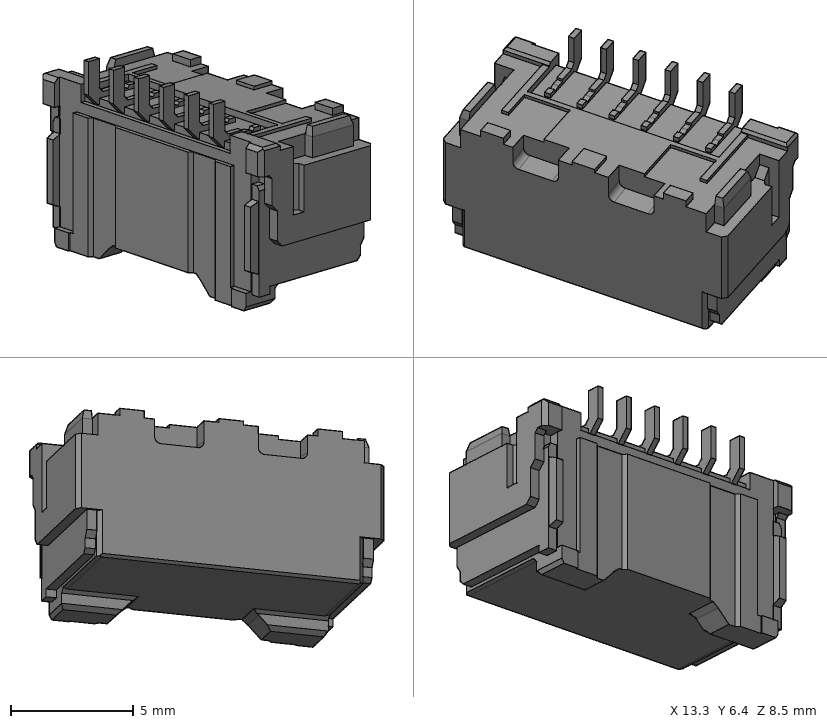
import cadquery as cq
WIDTH = 13.3
BACK_Y = 6.4
TOP_Z = 7.08
DECK_Z = 6.93
PAD_Z = 7.24
SHELF_Z = 5.98
WALL_BOTTOM_Z = 2.78
FLOOR_Z = 0.78

SIDE_X = WIDTH / 2
RIB_X = 6.18
RIB_BOTTOM_Z = 0.98
RIB_FRONT_Y = 0.41
CORE_X = 5.75
FRAME_Y = 0.37
PANEL_Y = 0.16
RECESS_Y = 0.32
FOOT_Y = 0.08
CORNER_CHAMFER = 0.2
EDGE_CHAMFER = 0.12
PANEL_SLOPE = 0.16

PIN_COUNT = 6
PIN_PITCH = 1.5
PIN_WIDTH = 0.27
PIN_TOP_Z = 8.5
PIN_BOTTOM_Z = 6.52
RECESS_X = 4.48
RECESS_BACK_Y = 3.03
RECESS_FLOOR_Z = 6.78
LIP_Y = 0.61
LIP_Z = 6.45

BAR_X = 4.8
BAR_BACK_Y = 3.27
RAIL_BACK_Y = 4.63
STRIP_X = 2.35
BLOCK_BACK_Y = 1.17
NOTCH_INNER_X = 1.17
NOTCH_OUTER_X = 3.3
NOTCH_FRONT_Y = 5.48
NOTCH_FILLET = 0.28
NOTCH_FLOOR_DROP = 0.09


def box(x0, x1, y0, y1, z0, z1):
    return cq.Workplane("XY").box(x1 - x0, y1 - y0, z1 - z0, centered=False).translate((x0, y0, z0))


def side_prism(points, x0, x1):
    """Extrude an outline of (y, z) points from x0 to x1."""
    return cq.Workplane("YZ").polyline(points).close().extrude(x1 - x0).translate((x0, 0, 0))


def plan_prism(points, z0, z1):
    """Extrude an outline of (x, y) points from z0 to z1."""
    return cq.Workplane("XY").polyline(points).close().extrude(z1 - z0).translate((0, 0, z0))


def both_sides(left):
    return left.union(left.mirror("YZ"))


def core():
    body = box(-CORE_X, CORE_X, FRAME_Y, BACK_Y, FLOOR_Z, DECK_Z)
    side_slope = 0.05
    body = body.edges("|Y and <Z").chamfer(side_slope, CORNER_CHAMFER)
    body = body.edges(">Y and <Z").chamfer(EDGE_CHAMFER)

    corner = plan_prism(
        [
            (-CORE_X, BACK_Y),
            (-CORE_X, BACK_Y - CORNER_CHAMFER),
            (-CORE_X + CORNER_CHAMFER, BACK_Y),
        ],
        FLOOR_Z,
        WALL_BOTTOM_Z,
    )
    return body.cut(both_sides(corner))


WALL_FRONT_Y = 0.7
SLOT_FRONT_Y = 1.89
SLOT_BACK_Y = 2.49
SLOT_BOTTOM_Z = 3.98
SLOT_RAMP = 0.4


def side_wall():
    """Outer wall with a stepped front edge and a tall post in front of the slot."""
    lower_front_y = 1.0
    step = 0.27
    top_front_y = 0.53
    front_slope = WALL_FRONT_Y - top_front_y
    upper_step_z = 4.64
    outline = [
        (BACK_Y, WALL_BOTTOM_Z),
        (lower_front_y + step, WALL_BOTTOM_Z),
        (lower_front_y, WALL_BOTTOM_Z + step),
        (lower_front_y, upper_step_z - (lower_front_y - WALL_FRONT_Y)),
        (WALL_FRONT_Y, upper_step_z),
        (WALL_FRONT_Y, SHELF_Z - front_slope),
        (top_front_y, SHELF_Z),
        (top_front_y, DECK_Z),
        (SLOT_FRONT_Y, DECK_Z),
        (SLOT_FRONT_Y, SHELF_Z),
        (BACK_Y, SHELF_Z),
    ]
    backing_front_y = 0.8
    skin = side_prism(outline, -SIDE_X, -RIB_X)
    skin = skin.edges("|Z and <X and >Y").chamfer(CORNER_CHAMFER)
    backing = box(-RIB_X, -CORE_X, backing_front_y, BACK_Y, WALL_BOTTOM_Z, SHELF_Z)
    post = box(-RIB_X, -CORE_X, backing_front_y, SLOT_FRONT_Y, SHELF_Z, DECK_Z)
    wall = skin.union(backing).union(post)

    slot_chamfer_x, slot_chamfer_y = 0.16, 0.2
    slot = plan_prism(
        [
            (-SIDE_X, SLOT_FRONT_Y),
            (-RIB_X, SLOT_FRONT_Y),
            (-RIB_X, SLOT_BACK_Y - slot_chamfer_y),
            (-RIB_X - slot_chamfer_x, SLOT_BACK_Y),
            (-SIDE_X, SLOT_BACK_Y),
        ],
        SLOT_BOTTOM_Z,
        SHELF_Z,
    )
    ramp = side_prism(
        [
            (SLOT_FRONT_Y, SHELF_Z),
            (SLOT_FRONT_Y + SLOT_RAMP, SHELF_Z),
            (SLOT_FRONT_Y, SHELF_Z + SLOT_RAMP),
        ],
        -RIB_X,
        -CORE_X,
    )
    return wall.cut(slot).union(ramp)


def side_rib():
    """Lower side layer with a post in front of the outer wall and a short leg below."""
    rib_back_y = 6.28
    waist_y = 6.08
    waist_top_z = 1.61
    waist_rise = 0.3
    leg_back_y = 1.02
    leg_bottom_z = 0.65
    post_back_y = 1.26
    post_top_z = 5.43
    layer = side_prism(
        [
            (RIB_FRONT_Y, leg_bottom_z),
            (leg_back_y, leg_bottom_z),
            (leg_back_y, RIB_BOTTOM_Z),
            (waist_y - CORNER_CHAMFER, RIB_BOTTOM_Z),
            (waist_y, RIB_BOTTOM_Z + CORNER_CHAMFER),
            (waist_y, waist_top_z),
            (rib_back_y, waist_top_z + waist_rise),
            (rib_back_y, WALL_BOTTOM_Z),
            (post_back_y, WALL_BOTTOM_Z),
            (post_back_y, post_top_z),
            (RIB_FRONT_Y, post_top_z),
        ],
        -RIB_X,
        -CORE_X,
    )
    return layer.edges(">Z and <X").chamfer(EDGE_CHAMFER, CORNER_CHAMFER)


def front_wedge():
    """Tapered press bar on the front of the side post."""
    bottom_z, top_z = 1.62, 4.77
    slope = 0.17
    taper = 0.05
    inset = 0.03
    root_y = 0.66
    bar = side_prism(
        [
            (root_y, bottom_z),
            (RIB_FRONT_Y, bottom_z),
            (0, bottom_z + slope),
            (0, top_z - slope),
            (RIB_FRONT_Y, top_z),
            (root_y, top_z),
        ],
        -RIB_X + inset,
        -CORE_X,
    )
    return bar.faces("<Y").edges("<X").chamfer(taper, RIB_FRONT_Y)


def shelf_latch():
    """Tapered bar standing on the side wall."""
    front_y, back_y = 3.39, 5.69
    shoulder_z, top_z = 6.89, 7.29
    end_slope = 0.12
    side_slope = 0.12
    bar = side_prism(
        [
            (front_y, SHELF_Z),
            (back_y, SHELF_Z),
            (back_y, shoulder_z),
            (back_y - end_slope, top_z),
            (front_y + end_slope, top_z),
            (front_y, shoulder_z),
        ],
        -RIB_X,
        -CORE_X,
    )
    return bar.edges(">Z and <X").chamfer(side_slope, top_z - shoulder_z)


def corner_block():
    """Block at the upper front corner: wide at the side, set back beside the recess."""
    block = box(-SIDE_X, -CORE_X, FOOT_Y, BLOCK_BACK_Y, SHELF_Z, PAD_Z)
    block = block.edges("|Z and <X and <Y").chamfer(CORNER_CHAMFER)
    block = block.faces(">Z").edges("<Y").chamfer(CORNER_CHAMFER)
    block = block.faces(">Z").edges("<X or >Y").chamfer(EDGE_CHAMFER)
    inner = box(-CORE_X, -RECESS_X, FRAME_Y, BLOCK_BACK_Y, SHELF_Z, PAD_Z)
    inner = inner.edges(">Z and >Y").chamfer(EDGE_CHAMFER)
    return block.union(inner)


def top_relief():
    """Frame, rails, centre strip and pads standing above the deck."""
    relief = box(-BAR_X, BAR_X, FRAME_Y, BAR_BACK_Y, DECK_Z, TOP_Z)
    relief = relief.union(box(-STRIP_X, STRIP_X, BAR_BACK_Y, BACK_Y, DECK_Z, TOP_Z))
    rail = box(-BAR_X, -RECESS_X, BAR_BACK_Y, RAIL_BACK_Y, DECK_Z, TOP_Z)
    pad_width = 1.06
    outer_pad_y = 5.8
    centre_pad_y = 5.39
    outer_pad = box(-BAR_X, -BAR_X + pad_width, outer_pad_y, BACK_Y, DECK_Z, PAD_Z)
    centre_pad = box(-pad_width / 2, pad_width / 2, centre_pad_y, BACK_Y, DECK_Z, PAD_Z)
    return relief.union(both_sides(rail.union(outer_pad))).union(centre_pad)


def pin_recess():
    pocket = box(-RECESS_X, RECESS_X, FRAME_Y, RECESS_BACK_Y, RECESS_FLOOR_Z, PAD_Z)
    ledge = box(-RECESS_X, RECESS_X, FRAME_Y, LIP_Y, LIP_Z, PAD_Z)
    return pocket.union(ledge)


def rear_notch():
    """Notch in the rear top edge with rounded floor corners and a floor falling rearwards."""
    floor = [
        (NOTCH_FRONT_Y, SHELF_Z),
        (BACK_Y, SHELF_Z - NOTCH_FLOOR_DROP),
        (BACK_Y, PAD_Z),
        (NOTCH_FRONT_Y, PAD_Z),
    ]
    notch = side_prism(floor, -NOTCH_OUTER_X, -NOTCH_INNER_X)
    return notch.faces("<Z").edges("not(|X)").fillet(NOTCH_FILLET)


PANEL_OUTER_X = 4.72
FOOT_INNER_X = 4.9
OUTER_PANEL_INNER_X = 3.66
CENTRE_PANEL_X = 2.18


def front_panels():
    panel = plan_prism(
        [
            (-PANEL_OUTER_X, FRAME_Y),
            (-PANEL_OUTER_X, PANEL_Y),
            (-OUTER_PANEL_INNER_X - PANEL_SLOPE, PANEL_Y),
            (-OUTER_PANEL_INNER_X, RECESS_Y),
            (-CENTRE_PANEL_X - PANEL_SLOPE, RECESS_Y),
            (-CENTRE_PANEL_X, PANEL_Y),
            (0, PANEL_Y),
            (0, FRAME_Y),
        ],
        0,
        SHELF_Z,
    )
    lower_edge = box(-FOOT_INNER_X, -PANEL_OUTER_X, PANEL_Y, FRAME_Y, 0, FLOOR_Z)
    return panel.union(lower_edge)


def foot():
    """Foot below the front corner, reaching back under the body."""
    foot_back_y = 1.72
    shoulder_z = 0.64
    outline = [
        (FRAME_Y, 0),
        (foot_back_y - CORNER_CHAMFER, 0),
        (foot_back_y, CORNER_CHAMFER),
        (foot_back_y, shoulder_z),
        (foot_back_y + RIB_BOTTOM_Z - shoulder_z, RIB_BOTTOM_Z),
        (FRAME_Y, RIB_BOTTOM_Z),
    ]
    base = side_prism(outline, -CORE_X, 0)
    pad = box(-CORE_X, -FOOT_INNER_X, FOOT_Y, FRAME_Y, 0, FLOOR_Z)
    return base.union(pad).edges("<X and <Z").chamfer(EDGE_CHAMFER, CORNER_CHAMFER)


def front_cutout():
    """Opening between the feet, with 45 degree flanks easing into its roof."""
    flank_x, flank_rise = 3.32, 0.57
    roof_x = 2.49
    shoulder_x = flank_x - flank_rise
    outline = [
        (-flank_x, 0),
        (-shoulder_x, flank_rise),
        (-roof_x, FLOOR_Z),
        (roof_x, FLOOR_Z),
        (shoulder_x, flank_rise),
        (flank_x, 0),
    ]
    return cq.Workplane("XZ").polyline(outline).close().extrude(-BACK_Y)


def pin():
    """Bent pin: upright tail at the front and a stepped strip on the recess floor."""
    tail_y = 0.63
    outer_bend, inner_bend = 0.53, 0.2
    strip_z = 7.04
    step_y, step_z = 1.6, 6.93
    ramp_y = 1.93
    dip_y, dip_z = 2.21, 6.85
    tip_front_y, tip_back_y = 2.29, 2.63
    tip_z = 6.98
    outline = [
        (0, PIN_TOP_Z),
        (0, PIN_BOTTOM_Z + outer_bend),
        (outer_bend, PIN_BOTTOM_Z),
        (tip_back_y, PIN_BOTTOM_Z),
        (tip_back_y, tip_z),
        (tip_front_y, tip_z),
        (dip_y, dip_z),
        (ramp_y, step_z),
        (step_y, step_z),
        (step_y, strip_z),
        (tail_y + inner_bend, strip_z),
        (tail_y, strip_z + inner_bend),
        (tail_y, PIN_TOP_Z),
    ]
    return side_prism(outline, -PIN_WIDTH / 2, PIN_WIDTH / 2)


left_side = side_wall()
for feature in (side_rib(), front_wedge(), shelf_latch(), corner_block(), front_panels(), foot()):
    left_side = left_side.union(feature)

result = core().union(top_relief()).union(both_sides(left_side))
result = result.cut(pin_recess()).cut(both_sides(rear_notch())).cut(front_cutout())

for index in range(PIN_COUNT):
    pin_x = (index - (PIN_COUNT - 1) / 2) * PIN_PITCH
    result = result.union(pin().translate((pin_x, 0, 0)))